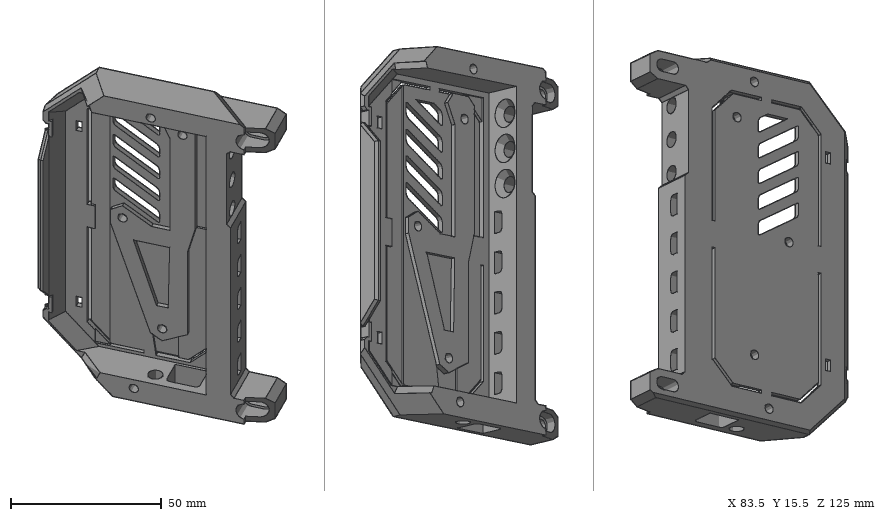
import cadquery as cq
import math

WIDTH = 83.5
DEPTH = 15.5
HEIGHT = 125.0
OVER = 6.2

OPENING_RIGHT = 60.6
OPENING_BOTTOM = 8.9
OPENING_TOP = 117.0
FLOOR_Y = 13.5
STRIP_Y = 14.2
ARM_Y = 11.9
SHELF_Y = 8.9
SIDE_WALL = 2.0

CORNER_LEG = 18.0
BEVEL_Y = 11.0
TOP_CORNER_FRONT_LEG = 24.6
BOTTOM_CORNER_FRONT_LEG = 27.6
INNER_CORNER_SHELF_LEG = 20.8
INNER_CORNER_FLOOR_LEG = 27.0
INNER_BEVEL_X = 6.4
BACK_CHAMFER = 1.1

END_FACES_BOTTOM = [(6.2, 22.1, 13.5), (OPENING_BOTTOM, 23.2, 14.9)]
END_FACES_TOP = [(OPENING_TOP, 20.2, 14.1), (119.1, 19.6, 13.5)]

LUG_HEIGHT = 10.0
LUG_TOP = 122.8
LUG_STEP_X = 74.0
LUG_STEP_Y = 1.8
LUG_TIP_Y = 4.2
LUG_CHAMFER_X = 3.1
LUG_CHAMFER_Z = 1.8
LUG_SLOT_X = 76.4
LUG_SLOT_ZS = (5.2, 117.9)
LUG_SLOT_LENGTH = 8.8
LUG_SLOT_WIDTH = 4.4
LUG_RECESS_LENGTH = 10.4
LUG_RECESS_WIDTH = 6.2
LUG_RECESS_Y = 7.5
TOP_DIAGONAL_EDGE = 72.6
TOP_DIAGONAL_LUG = 75.9

RIGHT_X = 69.2
RIGHT_RELIEF_X = 67.9
RIGHT_RELIEF_BOTTOM = 82.1
EDGE_CHAMFER = 1.2

GAP = 1.1
GAP_LEFT = 14.0
GAP_RIGHT = 58.2
GAP_BOTTOM = 10.1
GAP_TOP = 115.0
GAP_CORNER = 8.0
RECESS_LEFT = 16.8
TAB_BOTTOM = 57.8
TAB_TOP = 67.2
CENTER_TAB_LEFT = 34.0
CENTER_TAB_RIGHT = 38.2
PANEL_LEFT = 22.0
LAND_LEFT = 46.2

ARM_SPINE_X = 43.8
ARM_LOWER_LEFT = (36.9, 20.4)
ARM_LOWER_RIGHT = (49.9, 22.9)

PIN_HOLE = 3.2
PIN_HOLES = [(41.1, 119.9), (48.1, 105.9), (27.0, 66.0), (41.0, 23.1), (35.1, 5.2)]

VENT_LEFT = 23.1
VENT_RIGHT = 39.5
VENT_TOP_Z = 108.2
VENT_HEIGHT = 5.0
VENT_DROP = 10.1
VENT_PITCH = 9.1
VENT_FIELD_TOP = 109.6
VENT_COUNT = 5
VENT_ROUND = 2.5
VENT_TIP_ROUND = 0.4

FLAP_FRONT_Y = 3.4
FLAP_CHAMFER = 0.8
FLAP_CHAMFER_X = 1.1
FLAP_TIP_HALF = 27.2
CLIP_HEIGHT = 4.0
CLIP_ZS = (25.8, 99.2)
CLIP_PAD_X = 3.1
CLIP_PAD_HEIGHT = 6.5
WINDOW_LEFT = 10.1
WINDOW_WIDTH = 2.0

SCREW_HOLE = 5.4
SCREW_SINK = 9.6
SCREW_Y = 5.6
SCREW_TOP_Z = 108.8
SCREW_PITCH = 12.0
SCREW_COUNT = 3
SIDE_SLOT_FRONT_Y = 7.1
SIDE_SLOT_DEPTH = 3.5
SIDE_SLOT_HEIGHT = 7.4
SIDE_SLOT_Z = 17.2
SIDE_SLOT_PITCH = 13.8
SIDE_SLOT_COUNT = 5
SIDE_SLOT_ROUND = 1.5

CABLE_HOLE = 5.0
CABLE_HOLE_X = 41.0
CABLE_HOLE_Y = 5.0
PORT_LEFT = 45.4
PORT_RIGHT = 57.0
PORT_FRONT_Y = 3.0
PORT_BACK_Y = 12.5
PORT_ROUND = 1.5


def prism(points, y_front, y_back):
    """Prism with an XZ outline, running from y_front to y_back."""
    return cq.Workplane("XZ", origin=(0, y_front, 0)).polyline(points).close().extrude(y_front - y_back)


def block(x, y, z):
    """Box given by its (low, high) limits along each axis."""
    size = [high - low for low, high in (x, y, z)]
    return cq.Workplane("XY").box(*size, centered=False).translate((x[0], y[0], z[0]))


def column(points, z_low, z_high):
    """Prism with an XY outline, running from z_low to z_high."""
    return cq.Workplane("XY", origin=(0, 0, z_low)).polyline(points).close().extrude(z_high - z_low)


def taper(lower, upper, z_low, z_high):
    """Straight-sided solid between XY outlines at two heights."""
    lower_wire = cq.Wire.makePolygon([cq.Vector(x, y, z_low) for x, y in lower], close=True)
    upper_wire = cq.Wire.makePolygon([cq.Vector(x, y, z_high) for x, y in upper], close=True)
    return cq.Workplane(cq.Solid.makeLoft([lower_wire, upper_wire], True))


def corner_wedge(leg_front, y_front, leg_back, y_back, at_top):
    """Triangular solid over a left corner, its legs changing from front to back."""
    wires = []
    for leg, y in ((leg_front, y_front), (leg_back, y_back)):
        triangle = [(-OVER, -OVER), (leg + OVER, -OVER), (-OVER, leg + OVER)]
        points = [cq.Vector(x, y, HEIGHT - z if at_top else z) for x, z in triangle]
        wires.append(cq.Wire.makePolygon(points, close=True))
    return cq.Workplane(cq.Solid.makeLoft(wires, True))


def octagon(inset):
    """Corner points of the panel gap octagon, moved inwards by inset."""
    left, right = GAP_LEFT + inset, GAP_RIGHT - inset
    bottom, top = GAP_BOTTOM + inset, GAP_TOP - inset
    cut = GAP_CORNER - inset * (2 - math.sqrt(2))
    return [
        (left + cut, bottom), (right - cut, bottom), (right, bottom + cut), (right, top - cut),
        (right - cut, top), (left + cut, top), (left, top - cut), (left, bottom + cut),
    ]


def frame_blank():
    """Solid outline with both lugs, slanted corners and bevelled back edges."""
    lug_tip = WIDTH - LUG_CHAMFER_X
    upper_lug_bottom = LUG_TOP - LUG_HEIGHT
    blank = prism(
        [
            (CORNER_LEG, 0), (lug_tip, 0), (WIDTH, LUG_CHAMFER_Z),
            (WIDTH, LUG_HEIGHT - LUG_CHAMFER_Z), (lug_tip, LUG_HEIGHT),
            (RIGHT_X + EDGE_CHAMFER, LUG_HEIGHT), (RIGHT_X, LUG_HEIGHT + EDGE_CHAMFER),
            (RIGHT_X, RIGHT_RELIEF_BOTTOM - EDGE_CHAMFER), (RIGHT_RELIEF_X, RIGHT_RELIEF_BOTTOM),
            (RIGHT_RELIEF_X, upper_lug_bottom - EDGE_CHAMFER),
            (RIGHT_RELIEF_X + EDGE_CHAMFER, upper_lug_bottom), (lug_tip, upper_lug_bottom),
            (WIDTH, upper_lug_bottom + LUG_CHAMFER_Z), (WIDTH, LUG_TOP - LUG_CHAMFER_Z),
            (lug_tip, LUG_TOP), (lug_tip, HEIGHT),
            (CORNER_LEG, HEIGHT), (0, HEIGHT - CORNER_LEG), (0, CORNER_LEG),
        ],
        0, DEPTH,
    )
    blank = blank.cut(corner_wedge(TOP_CORNER_FRONT_LEG, 0, CORNER_LEG, BEVEL_Y, True))
    blank = blank.cut(corner_wedge(BOTTOM_CORNER_FRONT_LEG, 0, CORNER_LEG, BEVEL_Y, False))
    back_leg = CORNER_LEG + BACK_CHAMFER * math.sqrt(2)
    for at_top in (True, False):
        blank = blank.cut(corner_wedge(CORNER_LEG, DEPTH - BACK_CHAMFER, back_leg, DEPTH, at_top))

    bevel = DEPTH - BEVEL_Y
    blank = blank.cut(column([(0, BEVEL_Y), (bevel, DEPTH), (0, DEPTH)], 0, HEIGHT))
    for z, inward in ((0, 1), (HEIGHT, -1)):
        edge = [(DEPTH - BACK_CHAMFER, z), (DEPTH, z), (DEPTH, z + inward * BACK_CHAMFER)]
        blank = blank.cut(cq.Workplane("YZ").polyline(edge).close().extrude(WIDTH))

    def beyond_diagonal(total):
        far = WIDTH + OVER
        back = DEPTH + OVER
        return [(total + OVER, -OVER), (far, -OVER), (far, back), (total - back, back)]

    diagonal_end = taper(
        beyond_diagonal(TOP_DIAGONAL_LUG), beyond_diagonal(TOP_DIAGONAL_EDGE), LUG_TOP, HEIGHT
    )
    blank = blank.cut(diagonal_end)
    lug_slope = [(LUG_STEP_X, 0), (LUG_STEP_X, LUG_STEP_Y), (WIDTH, LUG_TIP_Y), (WIDTH, 0)]
    return blank.cut(column(lug_slope, 0, HEIGHT))


def cavity():
    """Space inside the frame, bounded by a bevelled left wall and slanted corners."""
    space = block((SIDE_WALL, OPENING_RIGHT), (0, FLOOR_Y), (OPENING_BOTTOM, OPENING_TOP))
    bevel_start = FLOOR_Y - (INNER_BEVEL_X - SIDE_WALL)
    space = space.cut(
        column([(SIDE_WALL, bevel_start), (INNER_BEVEL_X, FLOOR_Y), (SIDE_WALL, FLOOR_Y)], 0, HEIGHT)
    )
    for at_top in (True, False):
        space = space.cut(
            corner_wedge(INNER_CORNER_SHELF_LEG, SHELF_Y, INNER_CORNER_FLOOR_LEG, FLOOR_Y, at_top)
        )
    return space


def side_opening():
    """Opening on the left, in front of the shelf, ending in slanted faces on both cross walls."""

    def outline(x_front, x_shelf):
        return [(-OVER, 0), (x_front, 0), (x_shelf, SHELF_Y), (-OVER, SHELF_Y)]

    opening = block((-OVER, OPENING_RIGHT), (0, SHELF_Y), (OPENING_BOTTOM, OPENING_TOP))
    for (z_low, *low), (z_high, *high) in (END_FACES_BOTTOM, END_FACES_TOP):
        opening = opening.union(taper(outline(*low), outline(*high), z_low, z_high))
    return opening


def flap():
    """Trapezoid cover standing forward from the left wall, chamfered along its outer front edges."""

    def outline(x, inset):
        slant_shift = inset * math.sqrt(2)
        front = FLAP_FRONT_Y + inset
        base_half = FLAP_TIP_HALF + BEVEL_Y - FLAP_FRONT_Y - slant_shift
        tip_half = base_half - (BEVEL_Y - front)
        corners = [(front, -tip_half), (front, tip_half), (BEVEL_Y, base_half), (BEVEL_Y, -base_half)]
        return cq.Wire.makePolygon([cq.Vector(x, y, HEIGHT / 2 + z) for y, z in corners], close=True)

    chamfered = cq.Solid.makeLoft([outline(0, FLAP_CHAMFER), outline(FLAP_CHAMFER_X, 0)], True)
    plain = cq.Solid.makeLoft([outline(FLAP_CHAMFER_X, 0), outline(SIDE_WALL, 0)], True)
    return cq.Workplane(chamfered).union(cq.Workplane(plain))


def raised_panel():
    """Left tab, panel and lower right land, all level with the frame floor."""
    tab = block((GAP_LEFT, RECESS_LEFT), (FLOOR_Y, STRIP_Y), (TAB_BOTTOM, TAB_TOP))
    panel = prism(
        [
            (PANEL_LEFT, GAP_BOTTOM), (CENTER_TAB_RIGHT, GAP_BOTTOM), ARM_LOWER_LEFT,
            (LAND_LEFT, ARM_LOWER_RIGHT[1]), (LAND_LEFT, GAP_BOTTOM), (GAP_RIGHT, GAP_BOTTOM),
            (GAP_RIGHT, TAB_TOP), (ARM_SPINE_X, TAB_TOP), (ARM_SPINE_X, GAP_TOP), (PANEL_LEFT, GAP_TOP),
        ],
        FLOOR_Y, STRIP_Y,
    )
    return tab.union(panel)


def panel_recess():
    """Shallow recess around the panel, leaving the raised areas standing."""
    recess = block((RECESS_LEFT, GAP_RIGHT), (FLOOR_Y, STRIP_Y), (GAP_BOTTOM, GAP_TOP))
    return recess.union(prism(octagon(0), FLOOR_Y, STRIP_Y)).cut(raised_panel())


def panel_gap():
    """Octagonal through gap, interrupted by four tabs."""
    gap = prism(octagon(0), 0, DEPTH).cut(prism(octagon(GAP), 0, DEPTH))
    gap = gap.cut(block((0, WIDTH), (0, DEPTH), (TAB_BOTTOM, TAB_TOP)))
    return gap.cut(block((CENTER_TAB_LEFT, CENTER_TAB_RIGHT), (0, DEPTH), (0, HEIGHT)))


def arm():
    """Thick bracket on the panel that carries the pin holes, with a sunken tapered window."""
    bracket = prism(
        [
            (41.0, 18.1), ARM_LOWER_RIGHT, (ARM_LOWER_RIGHT[0], 57.2), (52.5, TAB_TOP),
            (52.5, GAP_TOP), (ARM_SPINE_X, GAP_TOP), (40.5, 110.4), (ARM_SPINE_X, 103.4),
            (ARM_SPINE_X, 65.0), (37.2, 65.0), (27.0, 71.1), (22.8, 68.5), (22.8, 63.0), ARM_LOWER_LEFT,
        ],
        ARM_Y, STRIP_Y,
    )
    window = prism(
        [(30.9, TAB_BOTTOM), (43.6, TAB_BOTTOM), (43.1, 32.4), (39.0, 32.4)],
        ARM_Y, FLOOR_Y,
    )
    return bracket.intersect(prism(octagon(GAP), 0, DEPTH)).cut(window)


def vents():
    """Parallel slanted slots, well rounded on the blunt corners; the first is cut off at the top."""
    slots = cq.Workplane("XZ")
    for index in range(VENT_COUNT):
        top = VENT_TOP_Z + VENT_PITCH * (1 - index)
        slot = prism(
            [
                (VENT_LEFT, top), (VENT_LEFT, top - VENT_HEIGHT),
                (VENT_RIGHT, top - VENT_HEIGHT - VENT_DROP), (VENT_RIGHT, top - VENT_DROP),
            ],
            0, DEPTH,
        )
        corners = [
            (VENT_LEFT, top - VENT_HEIGHT, VENT_ROUND),
            (VENT_RIGHT, top - VENT_DROP, VENT_ROUND),
            (VENT_LEFT, top, VENT_TIP_ROUND),
            (VENT_RIGHT, top - VENT_HEIGHT - VENT_DROP, VENT_TIP_ROUND),
        ]
        for x, z, radius in corners:
            edge = cq.selectors.NearestToPointSelector((x, DEPTH / 2, z))
            slot = slot.edges("|Y").edges(edge).fillet(radius)
        slots = slots.add(slot)
    return slots.combine().intersect(block((0, WIDTH), (0, DEPTH), (0, VENT_FIELD_TOP)))


def cut_lug_slots(body):
    """Through slot in each lug, with a wider recess from the front."""
    for z in LUG_SLOT_ZS:
        front = cq.Workplane("XZ", origin=(LUG_SLOT_X, 0, z))
        body = body.cut(front.slot2D(LUG_SLOT_LENGTH, LUG_SLOT_WIDTH).extrude(-DEPTH))
        body = body.cut(front.slot2D(LUG_RECESS_LENGTH, LUG_RECESS_WIDTH).extrude(-LUG_RECESS_Y))
    return body


def add_side_cover(body):
    """Flap on the left wall between two notches, each with a pad behind it and a window in the floor."""
    half = CLIP_HEIGHT / 2
    lips = (CLIP_ZS[0] - half, CLIP_ZS[1] + half)
    body = body.cut(block((0, SIDE_WALL), (SHELF_Y, BEVEL_Y), lips)).union(flap())
    for z, lip, outward in zip(CLIP_ZS, lips, (-1, 1)):
        lip_chamfer = [(0, lip), (FLAP_CHAMFER_X, lip), (0, lip + outward * FLAP_CHAMFER_X)]
        body = body.cut(prism(lip_chamfer, SHELF_Y, BEVEL_Y))
        pad_span = (z - CLIP_PAD_HEIGHT / 2, z + CLIP_PAD_HEIGHT / 2)
        body = body.union(block((SIDE_WALL, CLIP_PAD_X), (SHELF_Y, BEVEL_Y), pad_span))
        span = (z - half, z + half)
        body = body.cut(block((0, SIDE_WALL), (0, DEPTH), span))
        body = body.cut(block((WINDOW_LEFT, WINDOW_LEFT + WINDOW_WIDTH), (0, DEPTH), span))
    return body


def cut_right_wall(body):
    """Countersunk screw holes above a row of slots, all running along X."""
    reach = WIDTH - OPENING_RIGHT
    for index in range(SCREW_COUNT):
        start = cq.Workplane("YZ", origin=(OPENING_RIGHT, SCREW_Y, SCREW_TOP_Z - index * SCREW_PITCH))
        body = body.cut(start.circle(SCREW_HOLE / 2).extrude(reach))
        sink = (SCREW_SINK - SCREW_HOLE) / 2
        cone = cq.Solid.makeCone(
            SCREW_SINK / 2, SCREW_HOLE / 2, sink, pnt=start.plane.origin, dir=cq.Vector(1, 0, 0)
        )
        body = body.cut(cq.Workplane(cone))
    for index in range(SIDE_SLOT_COUNT):
        z = SIDE_SLOT_Z + index * SIDE_SLOT_PITCH
        slot = block(
            (OPENING_RIGHT, WIDTH),
            (SIDE_SLOT_FRONT_Y, SIDE_SLOT_FRONT_Y + SIDE_SLOT_DEPTH),
            (z - SIDE_SLOT_HEIGHT / 2, z + SIDE_SLOT_HEIGHT / 2),
        )
        body = body.cut(slot.faces("<Y").edges("|X").fillet(SIDE_SLOT_ROUND))
    return body


def cut_bottom_wall(body):
    """Round cable hole and a port with two rounded corners, both running along Z."""
    hole = cq.Workplane("XY", origin=(CABLE_HOLE_X, CABLE_HOLE_Y, 0))
    port = block((PORT_LEFT, PORT_RIGHT), (PORT_FRONT_Y, PORT_BACK_Y), (0, OPENING_BOTTOM))
    body = body.cut(hole.circle(CABLE_HOLE / 2).extrude(OPENING_BOTTOM))
    return body.cut(port.faces("<Y").edges("|Z").fillet(PORT_ROUND))


result = frame_blank().cut(cavity()).cut(side_opening())
result = result.cut(panel_recess()).union(arm()).cut(panel_gap()).cut(vents())
result = add_side_cover(result)
result = cut_right_wall(result)
result = cut_bottom_wall(result)
result = cut_lug_slots(result)
for hole_x, hole_z in PIN_HOLES:
    pin = cq.Workplane("XZ", origin=(hole_x, 0, hole_z)).circle(PIN_HOLE / 2).extrude(-DEPTH)
    result = result.cut(pin)